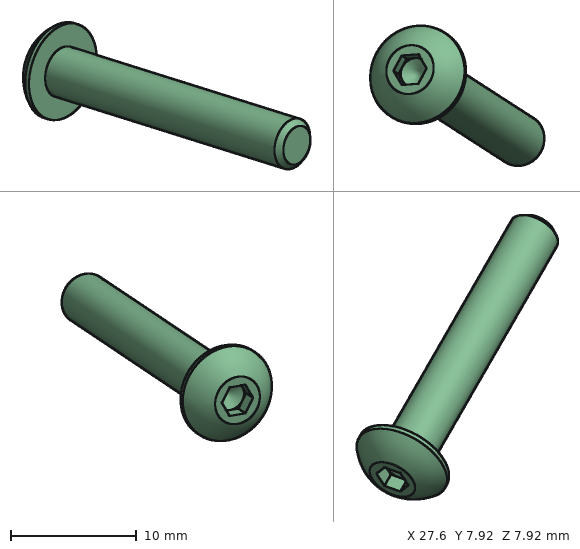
import cadquery as cq
import math

total_length = 27.6
head_diameter = 7.92
head_height = 2.2
rim_thickness = 0.41
face_diameter = 3.98
shank_diameter = 4.17
tip_chamfer = 0.5
socket_across_flats = 2.4
socket_depth = 1.25
drill_point_angle = 120.0

head_radius = head_diameter / 2
face_radius = face_diameter / 2
shank_radius = shank_diameter / 2
dome_height = head_height - rim_thickness

dome_centre = (dome_height**2 + head_radius**2 - face_radius**2) / (2 * dome_height)
dome_radius = math.hypot(dome_centre, face_radius)
dome_mid_x = dome_height / 2
dome_mid_radius = math.sqrt(dome_radius**2 - (dome_centre - dome_mid_x) ** 2)


def make_body():
    """Revolve the head and shank profile about the X axis."""
    return (
        cq.Workplane("XY")
        .lineTo(0, face_radius)
        .threePointArc((dome_mid_x, dome_mid_radius), (dome_height, head_radius))
        .lineTo(head_height, head_radius)
        .lineTo(head_height, shank_radius)
        .lineTo(total_length - tip_chamfer, shank_radius)
        .lineTo(total_length, shank_radius - tip_chamfer)
        .lineTo(total_length, 0)
        .close()
        .revolve(360, (0, 0, 0), (1, 0, 0))
    )


def make_socket():
    """Hexagonal socket with corners on the Y axis and a conical bottom."""
    corner_diameter = socket_across_flats / math.cos(math.pi / 6)
    hexagon = cq.Workplane("YZ").polygon(6, corner_diameter).extrude(socket_depth)
    cone_radius = socket_across_flats / 2
    cone_height = cone_radius / math.tan(math.radians(drill_point_angle / 2))
    cone = cq.Workplane(
        cq.Solid.makeCone(
            cone_radius, 0, cone_height, cq.Vector(socket_depth, 0, 0), cq.Vector(1, 0, 0)
        )
    )
    return hexagon.union(cone)


result = make_body().cut(make_socket())